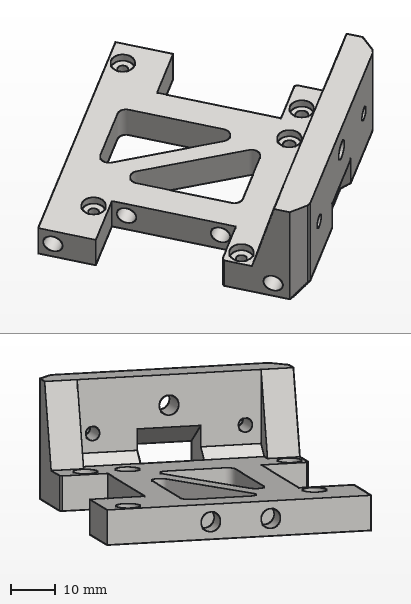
import cadquery as cq

length = 62
height = 27.5
plate_height = 8.05
bar_length = 13.5
bar_width = 62
neck_end = 42.55
neck_width = 36.1
block_width = 58.4
block_chamfer = 0.5

wall_face = 54.6
wall_corner = 3.6
bottom_chamfer = 3.0
edge_break = 0.5
rib_foot = 49.55
rib_width = 7.6
gusset = 2.55

window_width = 14.9
window_top = 15.5
window_lip = 10.6

pocket_left = 6.9
pocket_right = 41.55
pocket_half_width = 11.05
diagonal_start = -8.1
diagonal_slope = 0.61
pocket_radius = 2.0

screw_holes = [
    (3.5, 25.0, 2.5),
    (10.0, -20.7, 2.5),
    (46.05, -25.7, 2.5),
    (46.2, 22.2, 3.0),
    (46.2, 12.3, 3.0),
]
counterbore_diameter = 5.5
counterbore_depth = 2.0

socket_diameter = 4.5
socket_depth = 4.95
socket_height = 4.0
neck_socket_height = 4.4
bar_socket_x = 3.5
neck_sockets_x = [16.9, 38.95]
block_socket_x = 54.5
end_sockets_y = [6.65, -7.45]

wall_holes = [
    (0, 20.5, 4.5),
    (17.9, 15.0, 3.2),
    (-17.9, 15.0, 3.2),
]


def slab(x_start, x_end, width, slab_height):
    """Block standing on Z = 0 and centred on Y = 0."""
    return cq.Workplane("XY").box(
        x_end - x_start, width, slab_height, centered=(False, True, False)
    ).translate((x_start, 0, 0))


def side_profile(points, width):
    """Extrude an XZ outline to a width centred on Y = 0."""
    return cq.Workplane("XZ").polyline(points).close().extrude(width / 2, both=True)


def rod(x, y, z, direction, diameter, depth):
    """Cylinder starting at a point and running along a direction."""
    return cq.Workplane(
        cq.Solid.makeCylinder(diameter / 2, depth, cq.Vector(x, y, z), cq.Vector(*direction))
    )


def make_body():
    block = side_profile(
        [
            (neck_end, 0),
            (length, 0),
            (length, height),
            (wall_face, height),
            (rib_foot, plate_height),
            (neck_end, plate_height),
        ],
        block_width,
    )
    recess = side_profile(
        [
            (rib_foot, plate_height),
            (wall_face - gusset, plate_height),
            (wall_face, plate_height + gusset),
            (wall_face, height),
            (rib_foot, height),
        ],
        block_width - 2 * rib_width,
    )
    block = block.cut(recess)
    block = block.edges("|Z and >X").chamfer(wall_corner)
    block = block.edges("|Z and <X").chamfer(block_chamfer)
    block = block.edges(">X and <Z").chamfer(bottom_chamfer)

    for bevel_side in (">(1, 1, 0)", ">(1, -1, 0)"):
        bevel = block.faces(bevel_side)
        block = bevel.edges("(|Z and >X) or (not (|Z or #Z))").chamfer(edge_break)
    bar = slab(0, bar_length, bar_width, plate_height)
    neck = slab(bar_length, neck_end, neck_width, plate_height)
    return bar.union(neck).union(block)


def make_window():
    floor_start = wall_face - gusset
    return side_profile(
        [
            (floor_start, plate_height),
            (floor_start + plate_height, 0),
            (length, 0),
            (length, window_lip),
            (wall_face, window_top),
            (wall_face, plate_height + gusset),
        ],
        window_width,
    )


def make_pockets():
    diagonal_end = pocket_left + (pocket_half_width - diagonal_start) / diagonal_slope
    pocket = (
        cq.Workplane("XY")
        .polyline(
            [
                (pocket_left, diagonal_start),
                (diagonal_end, pocket_half_width),
                (pocket_left, pocket_half_width),
            ]
        )
        .close()
        .extrude(plate_height)
        .edges("|Z")
        .fillet(pocket_radius)
    )
    middle = (pocket_left + pocket_right) / 2
    return pocket.union(pocket.rotate((middle, 0, 0), (middle, 0, 1), 180))


result = make_body().cut(make_window()).cut(make_pockets())

for x, y, diameter in screw_holes:
    result = result.cut(rod(x, y, 0, (0, 0, 1), diameter, plate_height))
    result = result.cut(
        rod(x, y, plate_height, (0, 0, -1), counterbore_diameter, counterbore_depth)
    )

side_sockets = [
    (bar_socket_x, -bar_width / 2, socket_height),
    (block_socket_x, -block_width / 2, socket_height),
]
for x in neck_sockets_x:
    side_sockets.append((x, -neck_width / 2, neck_socket_height))
for x, y, z in side_sockets:
    result = result.cut(rod(x, y, z, (0, 1, 0), socket_diameter, socket_depth))
for y in end_sockets_y:
    result = result.cut(rod(0, y, socket_height, (1, 0, 0), socket_diameter, socket_depth))

for y, z, diameter in wall_holes:
    result = result.cut(rod(wall_face, y, z, (1, 0, 0), diameter, length - wall_face))